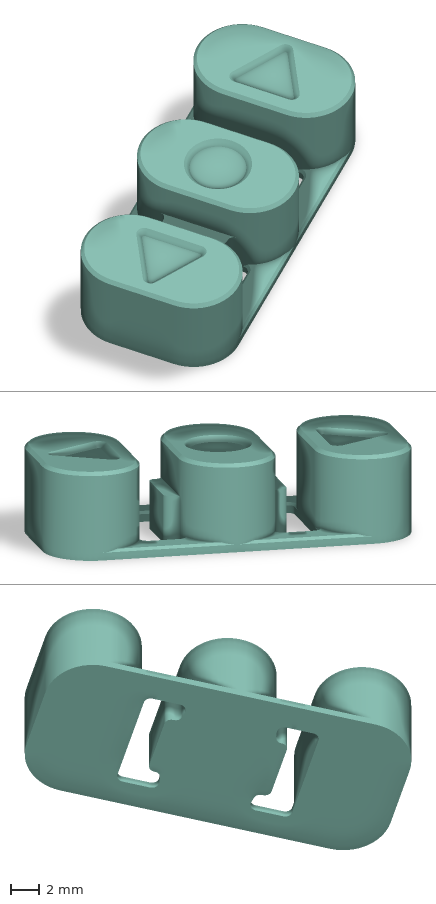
import cadquery as cq
import math

part_length = 27.0
part_width = 12.0
part_height = 6.5

slope_angle = 45

key_depth = 7.02
key_chamfer = 0.25
key_pitch = (part_length - key_depth) / 2

plate_thickness = 0.75
plate_chamfer = 0.2

window_width = 8.0
window_corner_radius = 0.5
window_outer_y = key_pitch - key_depth / 2
window_inner_y = 3.4

tab_width = 5.0
tab_height = 3.5
tab_reach = 4.54
tab_corner_radius = 0.5
tab_root_radius = 0.49

symbol_depth = 0.4
circle_diameter = 4.85
arrow_corner_radius = 0.57
arrow_side = 4.25
arrow_base_offset = 1.73


def make_key(center_y):
    """Stadium column with a chamfered top rim."""
    return (
        cq.Workplane("XY")
        .center(0, center_y)
        .slot2D(part_width, key_depth)
        .extrude(part_height)
        .faces(">Z")
        .chamfer(key_chamfer)
    )


def make_plate():
    """Flat plate with chamfered long edges and two chamfered windows."""
    plate = (
        cq.Workplane("XY")
        .box(part_width, 2 * key_pitch, plate_thickness, centered=(True, True, False))
        .edges("|Y and >Z")
        .chamfer(plate_chamfer)
    )
    for side in (-1, 1):
        plate = plate.cut(make_window(side))
    return plate


def make_window(side):
    """Rounded opening whose upper rim flares out like a chamfer."""
    length_y = window_outer_y - window_inner_y
    center_y = side * (window_outer_y + window_inner_y) / 2
    opening = (
        cq.Workplane("XY")
        .center(0, center_y)
        .rect(window_width, length_y)
        .extrude(plate_thickness)
        .edges("|Z")
        .fillet(window_corner_radius)
    )
    rim_growth = 2 * plate_chamfer
    rim = (
        cq.Sketch()
        .rect(window_width + rim_growth, length_y + rim_growth)
        .vertices()
        .fillet(window_corner_radius + plate_chamfer)
    )
    flare = (
        cq.Workplane("XY", origin=(0, center_y, plate_thickness))
        .placeSketch(rim)
        .extrude(-plate_chamfer, taper=slope_angle)
    )
    return opening.union(flare)


def make_tabs():
    """Lower part of the middle key with a rounded tab blended into each long face."""
    tabs = (
        cq.Workplane("XY")
        .rect(tab_width, 2 * tab_reach)
        .extrude(tab_height)
        .edges("|Z")
        .fillet(tab_corner_radius)
    )
    root_zone_reach = (key_depth / 2 + tab_reach - tab_corner_radius) / 2
    key_core = cq.Workplane("XY").slot2D(part_width, key_depth).extrude(tab_height)
    root_zone = cq.selectors.BoxSelector(
        (-part_width, -root_zone_reach, 0),
        (part_width, root_zone_reach, tab_height),
    )
    return key_core.union(tabs).edges(root_zone).edges("|Z").fillet(tab_root_radius)


def make_arrow(side):
    """Rounded triangular recess pointing outward along Y on an end key."""
    base_y = -arrow_base_offset
    apex_y = base_y + arrow_side * math.sin(math.radians(60))
    corner_centers = [(-arrow_side / 2, base_y), (arrow_side / 2, base_y), (0, apex_y)]
    recess = (
        cq.Workplane("XY")
        .polyline(corner_centers)
        .close()
        .offset2D(arrow_corner_radius)
        .extrude(-symbol_depth, taper=slope_angle)
    )
    if side < 0:
        recess = recess.rotate((0, 0, 0), (0, 0, 1), 180)
    return recess.translate((0, side * key_pitch, part_height))


def make_circle():
    """Round recess in the middle key."""
    return (
        cq.Workplane("XY", origin=(0, 0, part_height))
        .circle(circle_diameter / 2)
        .extrude(-symbol_depth, taper=slope_angle)
    )


result = make_plate().union(make_tabs())
result = result.union(make_key(0)).cut(make_circle())
for side in (-1, 1):
    result = result.union(make_key(side * key_pitch))
    result = result.cut(make_arrow(side))